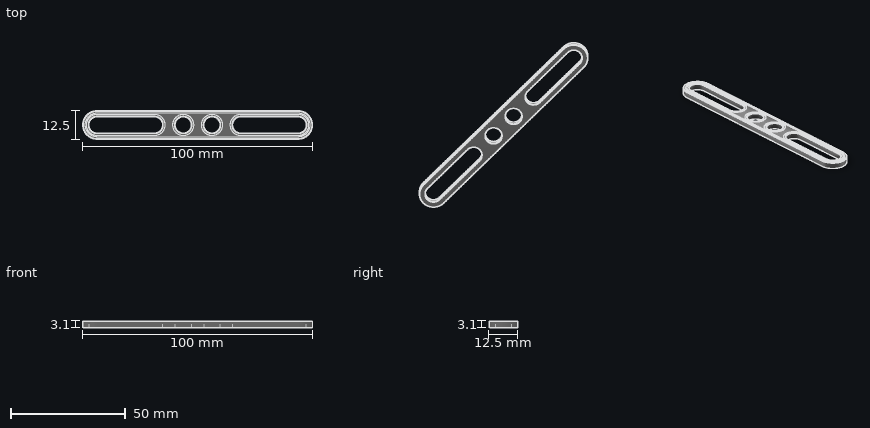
import cadquery as cq

length = 100.0
width = 12.5
thickness = 3.1
pitch = width
hole_diameter = 7.0
rim_diameter = 9.2
border_width = 1.1
recess_depth = 0.2
edge_chamfer = 0.3

hole_centres = [(-pitch / 2, 0), (pitch / 2, 0)]
slot_travel = 2 * pitch
slot_offset = (length - width - slot_travel) / 2
slot_centres = [(-slot_offset, 0), (slot_offset, 0)]
recess_floor = thickness - recess_depth


def rounded_bar(bar_length, bar_width, bottom, height):
    """Bar along X with full-radius ends, standing on the level `bottom`."""
    return cq.Workplane("XY", origin=(0, 0, bottom)).slot2D(bar_length, bar_width).extrude(height)


def openings(diameter, bottom, height):
    """Solids at the two round holes and the two slots, all `diameter` wide."""
    level = cq.Workplane("XY", origin=(0, 0, bottom))
    rounds = level.pushPoints(hole_centres).circle(diameter / 2).extrude(height)
    slots = level.pushPoints(slot_centres).slot2D(slot_travel + diameter, diameter).extrude(height)
    return rounds.union(slots)


strip = rounded_bar(length, width, 0, thickness).cut(openings(hole_diameter, 0, thickness))
strip = strip.faces("<Z or >Z").chamfer(edge_chamfer)

recess = rounded_bar(length - 2 * border_width, width - 2 * border_width, recess_floor, recess_depth)
recess = recess.cut(openings(rim_diameter, recess_floor, recess_depth))
result = strip.cut(recess)